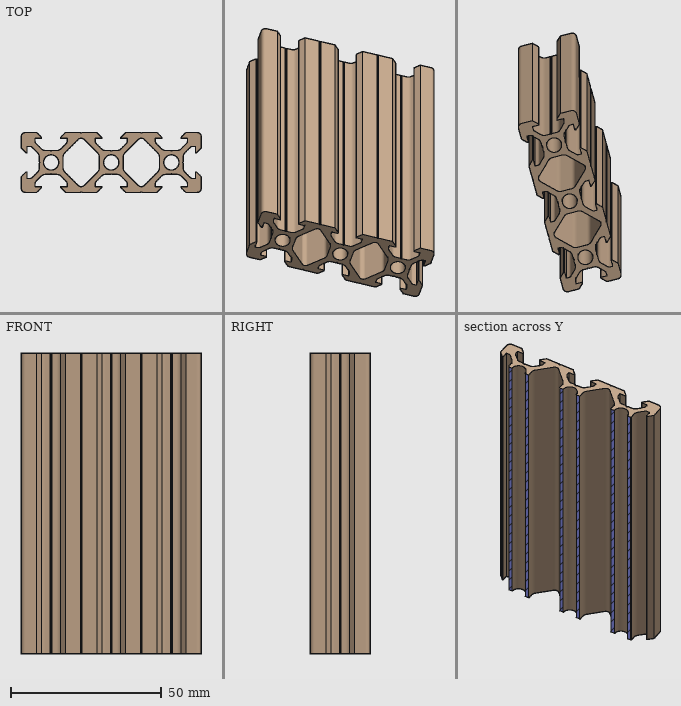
import cadquery as cq

module = 20.0
module_count = 3
length = 100.0
corner_radius = 1.5

lip_thickness = 2.0
slot_opening = 6.3
slot_mouth = 9.6
slot_inner_width = 10.6
slot_floor_radius = 2.0
slot_side_radius = 1.1

mark_width = 0.6
mark_depth = 0.2

core_half_width = 4.0
bore_diameter = 5.0
cavity_tip_radius = 1.4
cavity_side_radius = 2.0

slot_web_offset = 1.3
cavity_web_offset = 1.4

half_module = module / 2
lip_inner_face = half_module - lip_thickness
module_centres = [(i - (module_count - 1) / 2) * module for i in range(module_count)]
cavity_centres = [x + half_module for x in module_centres[:-1]]


def prism(points):
    """Full-length prism over a closed polygon in the XY plane."""
    return cq.Workplane("XY").polyline(points).close().extrude(length)


def mirrored_prism(right_points):
    """Full-length prism whose outline is symmetric about the Y axis."""
    left_points = [(-x, y) for x, y in reversed(right_points)]
    return prism(right_points + left_points)


def placed(cutter, x, angle):
    """Cutter turned about Z and moved along the row of modules."""
    return cutter.rotate((0, 0, 0), (0, 0, 1), angle).translate((x, 0, 0))


def make_mark(surface_y):
    """V mark sunk towards -Y from a face at surface_y."""
    half_width = mark_width / 2
    return prism([(-half_width, surface_y), (0, surface_y - mark_depth), (half_width, surface_y)])


def make_slot():
    """Marked T-slot of a module at the origin, opening towards +Y."""
    half_inner = slot_inner_width / 2
    half_floor = core_half_width - slot_web_offset
    side_start = half_inner + slot_web_offset
    undercut = mirrored_prism([
        (half_floor, core_half_width),
        (half_inner, side_start),
        (half_inner, lip_inner_face),
    ])
    undercut = undercut.edges("|Z").edges("<Y").fillet(slot_floor_radius)
    undercut = undercut.edges("|Z").edges(">>Y[-2]").fillet(slot_side_radius)

    half_opening = slot_opening / 2
    half_mouth = slot_mouth / 2
    flare_start = half_module - (half_mouth - half_opening)
    opening = mirrored_prism([
        (half_opening, lip_inner_face),
        (half_opening, flare_start),
        (half_mouth, half_module),
    ])
    return undercut.union(opening).union(make_mark(core_half_width))


def make_cavity():
    """Six-sided hollow between two neighbouring modules, centred on the origin."""
    half_width = half_module - core_half_width
    tip = half_module - cavity_web_offset
    side = tip - half_width
    cavity = prism([
        (0, tip),
        (half_width, side),
        (half_width, -side),
        (0, -tip),
        (-half_width, -side),
        (-half_width, side),
    ])
    cavity = cavity.edges("|Z").edges("<Y or >Y").fillet(cavity_tip_radius)
    return cavity.edges("|Z").edges("<X or >X").fillet(cavity_side_radius)


bar = (
    cq.Workplane("XY")
    .rect(module * module_count, module)
    .extrude(length)
    .edges("|Z")
    .fillet(corner_radius)
)

slot = make_slot()
slot_places = [(x, angle) for x in module_centres for angle in (0, 180)]
slot_places += [(module_centres[0], 90), (module_centres[-1], -90)]
for x, angle in slot_places:
    bar = bar.cut(placed(slot, x, angle))

cavity = make_cavity()
face_mark = make_mark(half_module)
for x in cavity_centres:
    bar = bar.cut(placed(cavity, x, 0))
    for angle in (0, 180):
        bar = bar.cut(placed(face_mark, x, angle))

bores = (
    cq.Workplane("XY")
    .pushPoints([(x, 0) for x in module_centres])
    .circle(bore_diameter / 2)
    .extrude(length)
)

result = bar.cut(bores)